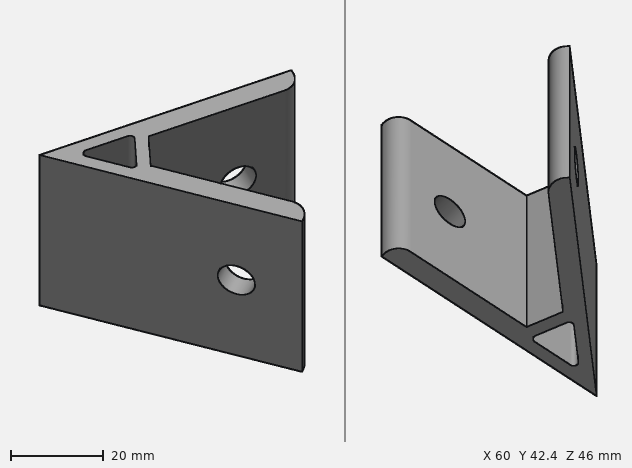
import cadquery as cq
import math

leg_length = 60.0
leg_angle = 45.0
height = 46.0
leg_thickness = 5.0
tip_radius = 4.0

web_corner = 23.65
web_thickness = 3.0
pocket_wall = 3.0
pocket_radius = 1.0

hole_diameter = 8.5
hole_distance = 45.0

half_angle = math.radians(leg_angle / 2)


def bisector_point(depth):
    """Point on the bisector that lies `depth` inside both outer faces."""
    return depth / math.tan(half_angle), depth


def web_face_distance(along_leg, depth):
    """Distance from the sharp edge, along the bisector, of a leg point."""
    return along_leg * math.cos(half_angle) + depth * math.sin(half_angle)


def make_leg():
    """Leg along X with its outer face on Y = 0 and a rounded inner tip."""
    return (
        cq.Workplane("XY")
        .moveTo(0, 0)
        .lineTo(leg_length, 0)
        .lineTo(leg_length, leg_thickness - tip_radius)
        .radiusArc((leg_length - tip_radius, leg_thickness), -tip_radius)
        .lineTo(*bisector_point(leg_thickness))
        .close()
        .extrude(height)
    )


def mirror_to_second_leg(body):
    """Reflect a body across the bisector plane."""
    return body.mirror("XZ").rotate((0, 0, 0), (0, 0, 1), leg_angle)


def make_wedge(wall, face_distance):
    """Triangular prism inset by `wall` from the outer faces, ending at the web face."""
    apex = wall / math.sin(half_angle)
    half_width = (face_distance - apex) * math.tan(half_angle)
    return (
        cq.Workplane("XY")
        .polyline([(apex, 0), (face_distance, -half_width), (face_distance, half_width)])
        .close()
        .extrude(height)
        .rotate((0, 0, 0), (0, 0, 1), leg_angle / 2)
    )


def make_hole():
    """Cylinder square to the first leg, at mid height."""
    return (
        cq.Workplane("XZ")
        .center(hole_distance, height / 2)
        .circle(hole_diameter / 2)
        .extrude(-leg_thickness)
    )


outer_face = web_face_distance(web_corner, leg_thickness)
inner_face = outer_face - web_thickness

drilled_leg = make_leg().cut(make_hole())
pocket = make_wedge(pocket_wall, inner_face).edges("|Z").fillet(pocket_radius)

result = (
    drilled_leg
    .union(mirror_to_second_leg(drilled_leg))
    .union(make_wedge(0, outer_face))
    .cut(pocket)
    .clean()
)